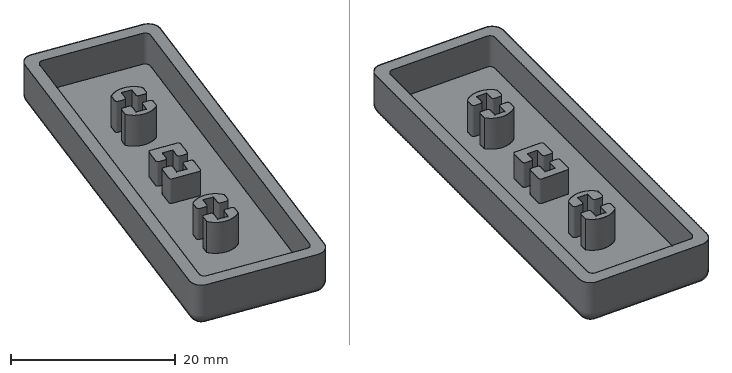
import cadquery as cq

length = 51.4
width = 18.05
height = 6.3
wall = 1.65
floor = wall
outer_radius = 1.6
inner_radius = 0.7
cavity_depth = height - floor

stem_depth = 4.2
stem_edge_radius = 0.3
slot_width = 1.4

center_stem_length = 6.35
center_stem_height = 3.7
center_slot_length = 4.2
center_split_width = 1.35

side_stem_diameter = 5.85
side_stem_height = cavity_depth
side_stem_offset = 11.95
side_slot_length = 4.3
side_split_width = 1.45


def block(size_x, size_y, size_z):
    """Box centered in X and Y that stands on Z = 0."""
    return cq.Workplane("XY").box(size_x, size_y, size_z, centered=(True, True, False))


def make_tray():
    """Open-topped box with rounded corners and a rounded bottom edge."""
    body = block(length, width, height).edges("|Z").fillet(outer_radius)
    body = body.faces("<Z").edges().fillet(outer_radius)
    cavity = block(length - 2 * wall, width - 2 * wall, cavity_depth).edges("|Z").fillet(inner_radius)
    return body.cut(cavity.translate((0, 0, floor)))


def cut_cross(stem, stem_height, slot_length, split_width):
    """Split a stem across its full depth and cut a closed slot along X through it.

    The upright edges on both sides of the split are rounded.
    """
    split = block(split_width, stem_depth, stem_height)
    slot = block(slot_length, slot_width, stem_height)
    reach_x = split_width / 2 + stem_edge_radius / 2
    near_split = cq.selectors.BoxSelector(
        (-reach_x, -stem_depth, 0),
        (reach_x, stem_depth, stem_height),
    )
    halves = stem.cut(split).cut(slot)
    return halves.edges("|Z").edges(near_split).fillet(stem_edge_radius)


def make_center_stem():
    """Rectangular stem with rounded corners."""
    stem = block(center_stem_length, stem_depth, center_stem_height)
    stem = stem.edges("|Z").fillet(stem_edge_radius)
    return cut_cross(stem, center_stem_height, center_slot_length, center_split_width)


def make_side_stem():
    """Round stem with flats facing +Y and -Y."""
    post = cq.Workplane("XY").circle(side_stem_diameter / 2).extrude(side_stem_height)
    stem = post.intersect(block(side_stem_diameter, stem_depth, side_stem_height))
    return cut_cross(stem, side_stem_height, side_slot_length, side_split_width)


result = make_tray().union(make_center_stem().translate((0, 0, floor)))
for stem_x in (-side_stem_offset, side_stem_offset):
    result = result.union(make_side_stem().translate((stem_x, 0, floor)))